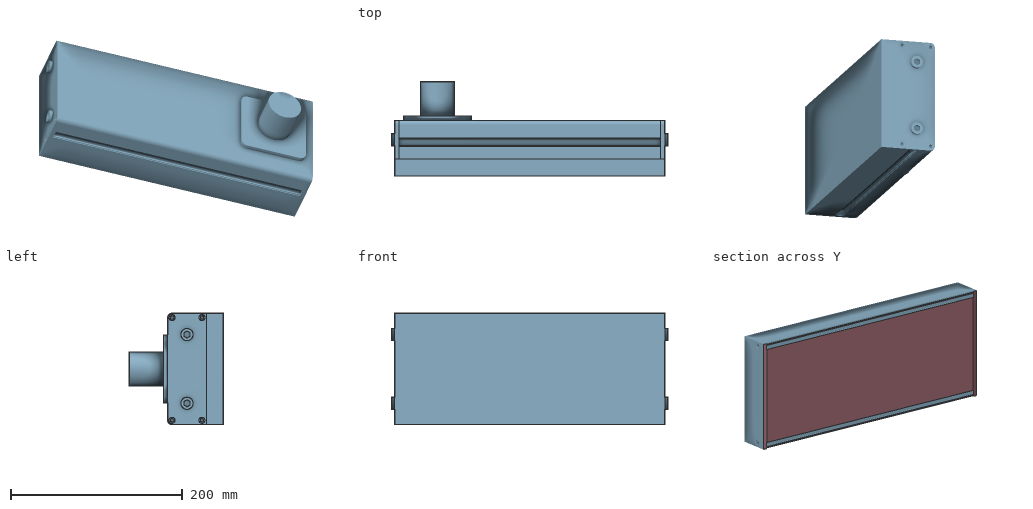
import cadquery as cq
import math

TOTAL_LENGTH = 322.0
HEIGHT = 130.0
BOSS_PROJECTION = 3.5
LENGTH = TOTAL_LENGTH - 2 * BOSS_PROJECTION

LAMP_DEPTH = 20.0
HOUSING_DEPTH = 45.0
HOUSING_BACK = LAMP_DEPTH + HOUSING_DEPTH
BACK_EDGE_RADIUS = 5.0
CAP_THICKNESS = 5.0

SLOT_Y = LAMP_DEPTH + 19.5
SLOT_STEP_WIDTH = 9.5
SLOT_STEP_DEPTH = 1.0
SLOT_MOUTH_WIDTH = 7.7
SLOT_MOUTH_DEPTH = 3.0
SLOT_WIDTH = 10.3
SLOT_DEPTH = 7.5

BOSS_DIAMETER = 14.2
BOSS_SPACING = 80.2
BOSS_Y = LAMP_DEPTH + HOUSING_DEPTH / 2
BOSS_SOCKET_FLATS = 7.0
BOSS_SOCKET_DEPTH = 3.5

SCREW_INSET = 5.0
SCREW_RECESS_DIAMETER = 7.0
SCREW_RECESS_DEPTH = 0.3
SCREW_SOCKET_FLATS = 4.0
SCREW_SOCKET_DEPTH = 2.5

FLANGE_SIDE = 79.2
FLANGE_THICKNESS = 5.0
FLANGE_CORNER_RADIUS = 7.7
DUCT_DIAMETER = 40.0
DUCT_LENGTH = 40.0
DUCT_X = -LENGTH / 2 + 50.0


def make_lamp_block():
    """Plain block across the whole front."""
    return cq.Workplane("XY").box(LENGTH, LAMP_DEPTH, HEIGHT, centered=(True, False, True))


def make_rounded_bar(length):
    """Bar along X with the housing section, its two back edges rounded."""
    return (
        cq.Workplane("XY")
        .box(length, HOUSING_DEPTH, HEIGHT, centered=(True, False, True))
        .translate((0, LAMP_DEPTH, 0))
        .edges("|X and >Y")
        .fillet(BACK_EDGE_RADIUS)
    )


def make_slot_cutter(length):
    """Stepped T-slot profile that opens upwards at Z = 0, swept along X and centred on Y = 0."""
    step_half = SLOT_STEP_WIDTH / 2
    mouth_half = SLOT_MOUTH_WIDTH / 2
    slot_half = SLOT_WIDTH / 2
    half_profile = [
        (0, 0),
        (step_half, 0),
        (step_half, -SLOT_STEP_DEPTH),
        (mouth_half, -SLOT_STEP_DEPTH),
        (mouth_half, -SLOT_MOUTH_DEPTH),
        (slot_half, -SLOT_MOUTH_DEPTH),
        (slot_half, -SLOT_DEPTH),
        (0, -SLOT_DEPTH),
    ]
    half = cq.Workplane("YZ").polyline(half_profile).close().extrude(length / 2, both=True)
    return half.union(half.mirror("XZ"))


def make_housing():
    """Bar between the end caps, with a T-slot along its top and its bottom."""
    length = LENGTH - 2 * CAP_THICKNESS
    top_slot = make_slot_cutter(length).translate((0, SLOT_Y, HEIGHT / 2))
    return make_rounded_bar(length).cut(top_slot).cut(top_slot.mirror("XY"))


def make_hex_sockets(plane, flats, depth):
    """Hexagonal cutters at the points of a YZ plane, two flats of each square to Y."""
    corner_radius = flats / 2 / math.cos(math.pi / 6)
    hexagon = cq.Sketch().regularPolygon(corner_radius, 6)
    return plane.placeSketch(hexagon).extrude(depth)


def make_left_cap():
    """End plate at -X with two socketed bosses and a socketed recess near each corner."""
    cap = make_rounded_bar(CAP_THICKNESS).translate(((CAP_THICKNESS - LENGTH) / 2, 0, 0))

    boss_points = [(BOSS_Y, side * BOSS_SPACING / 2) for side in (1, -1)]
    boss_plane = cq.Workplane("YZ", origin=(-TOTAL_LENGTH / 2, 0, 0)).pushPoints(boss_points)
    cap = cap.union(boss_plane.circle(BOSS_DIAMETER / 2).extrude(BOSS_PROJECTION))
    cap = cap.cut(make_hex_sockets(boss_plane, BOSS_SOCKET_FLATS, BOSS_SOCKET_DEPTH))

    screw_points = [
        (y, side * (HEIGHT / 2 - SCREW_INSET))
        for y in (LAMP_DEPTH + SCREW_INSET, HOUSING_BACK - SCREW_INSET)
        for side in (1, -1)
    ]
    screw_plane = cq.Workplane("YZ", origin=(-LENGTH / 2, 0, 0)).pushPoints(screw_points)
    cap = cap.cut(screw_plane.circle(SCREW_RECESS_DIAMETER / 2).extrude(SCREW_RECESS_DEPTH))
    return cap.cut(make_hex_sockets(screw_plane, SCREW_SOCKET_FLATS, SCREW_SOCKET_DEPTH))


def make_duct_connector():
    """Square flange with rounded corners, carrying a round duct that points to +Y."""
    flange = (
        cq.Workplane("XY")
        .box(FLANGE_SIDE, FLANGE_THICKNESS, FLANGE_SIDE, centered=(True, False, True))
        .edges("|Y")
        .fillet(FLANGE_CORNER_RADIUS)
    )
    duct = flange.faces(">Y").workplane(centerOption="CenterOfBoundBox").circle(DUCT_DIAMETER / 2)
    return duct.extrude(DUCT_LENGTH).translate((DUCT_X, HOUSING_BACK, 0))


lamp_block = make_lamp_block()
housing = make_housing()
left_cap = make_left_cap()
right_cap = left_cap.mirror("YZ")
duct_connector = make_duct_connector()

result = cq.Compound.makeCompound(
    [
        lamp_block.val(),
        housing.val(),
        left_cap.val(),
        right_cap.val(),
        duct_connector.val(),
    ]
)